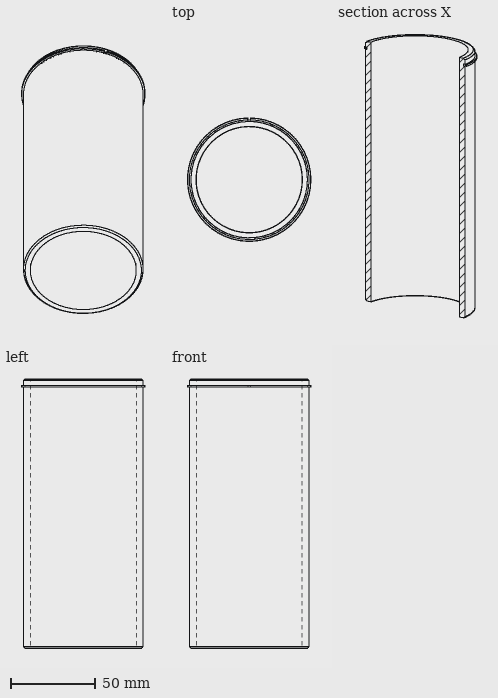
import cadquery as cq

liner_length = 160.0
liner_outer_radius = 71.1 / 2
bore_radius = 63.0 / 2
end_chamfer = 1.0

ring_outer_radius = 73.4 / 2
ring_inner_radius = 69.5 / 2
ring_thickness = 1.0
ring_top_offset = 3.8
ring_gap = 1.5

ring_bottom = liner_length - ring_top_offset - ring_thickness


def annulus(outer_radius, inner_radius, height):
    return cq.Workplane("XY").circle(outer_radius).circle(inner_radius).extrude(height)


def make_liner():
    """Plain tube with chamfered outer rims and a groove for the retaining ring."""
    body = cq.Workplane("XY").circle(liner_outer_radius).extrude(liner_length)
    body = body.faces("<Z or >Z").edges().chamfer(end_chamfer)
    bore = cq.Workplane("XY").circle(bore_radius).extrude(liner_length)
    groove = annulus(ring_outer_radius, ring_inner_radius, ring_thickness)
    return body.cut(bore).cut(groove.translate((0, 0, ring_bottom)))


def make_retaining_ring():
    """Flat ring that fills the groove, split by a narrow gap on its +Y side."""
    ring = annulus(ring_outer_radius, ring_inner_radius, ring_thickness)
    gap = (
        cq.Workplane("XY")
        .rect(ring_gap, ring_outer_radius * 2)
        .extrude(ring_thickness)
        .translate((0, ring_outer_radius, 0))
    )
    return ring.cut(gap).translate((0, 0, ring_bottom))


liner = make_liner()
retaining_ring = make_retaining_ring()

result = cq.Compound.makeCompound([liner.val(), retaining_ring.val()])